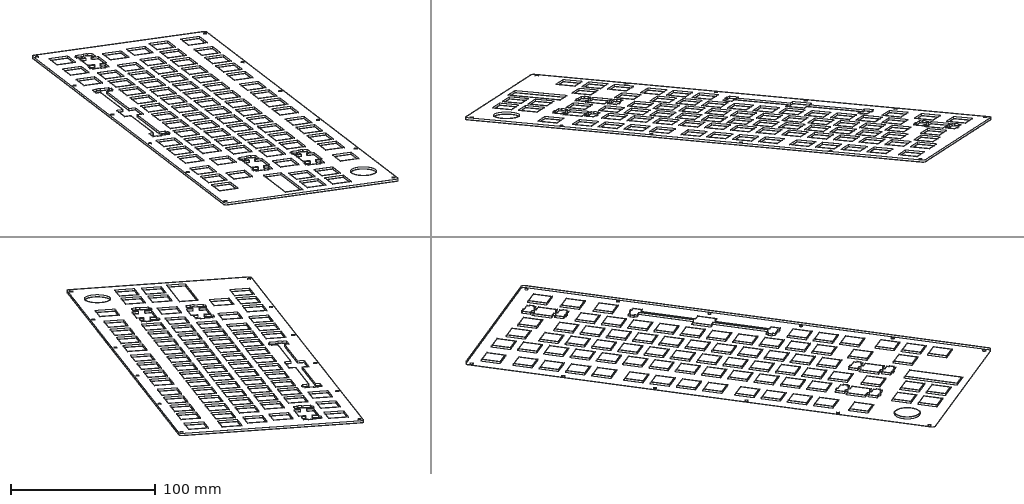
import cadquery as cq

PLATE_LENGTH = 340.0
PLATE_WIDTH = 131.0
PLATE_THICKNESS = 1.6
CORNER_RADIUS = 2.0

SCREW_DIAMETER = 2.2
SCREWS_PER_EDGE = 6
SCREW_SPAN = 331.8
SCREW_ROW_SPACING = 126.3
SCREW_MIDDLE_X = -0.2

KEY_PITCH = 19.05
SWITCH_SIZE = 14.0
FIRST_KEY_X = -154.45
NUMBER_ROW_Y = 26.2

NAVIGATION_MIDDLE = 15.73
NAVIGATION_COLUMNS = [NAVIGATION_MIDDLE - 0.5, NAVIGATION_MIDDLE + 0.5]
KNOB_DIAMETER = 18.0
KNOB_Y = 49.4
WINDOW_LENGTH = 38.5
WINDOW_WIDTH = 13.2
WINDOW_Y = -11.0

BACKSPACE_COLUMN = 13.5
ENTER_COLUMN = 13.375
SHIFT_COLUMN = 0.625
SPACEBAR_COLUMN = 6.375

KEY_COLUMNS = {
    0: [*range(13), BACKSPACE_COLUMN, *NAVIGATION_COLUMNS],
    1: [0.25, *[1.5 + key for key in range(12)], 13.75, *NAVIGATION_COLUMNS],
    2: [0.375, *[1.75 + key for key in range(11)], ENTER_COLUMN],
    3: [SHIFT_COLUMN, *[2.25 + key for key in range(10)], 12.625],
    4: [0.125, 1.375, 2.625, SPACEBAR_COLUMN, 10, 11, 12],
}

FUNCTION_ROW_Y = 50.0
FUNCTION_GROUPS = 3
KEYS_PER_GROUP = 4
GROUP_STEP = 23.22
DELETE_X = 112.1
DELETE_Y = 50.2

ARROW_COLUMN = 14.315
ARROW_ROW = 4
ARROW_DROP = 1.5

WIDE_KEY_OFFSET = 11.938
SPACEBAR_OFFSET = 50.0
STABILIZERS = [
    (BACKSPACE_COLUMN, 0, WIDE_KEY_OFFSET, 1),
    (ENTER_COLUMN, 2, WIDE_KEY_OFFSET, 1),
    (SHIFT_COLUMN, 3, WIDE_KEY_OFFSET, 1),
    (SPACEBAR_COLUMN, 4, SPACEBAR_OFFSET, -1),
]
POCKET_WIDTH = 6.65
POCKET_TOP = 5.53
POCKET_BOTTOM = -6.77
FOOT_WIDTH = 3.05
FOOT_BOTTOM = -7.97
CLIP_DEPTH = 0.83
CLIP_TOP = 2.3
CLIP_BOTTOM = -0.5
WIRE_SLOT_WIDTH = 4.6


def column_x(column):
    return FIRST_KEY_X + column * KEY_PITCH


def row_y(row):
    return NUMBER_ROW_Y - row * KEY_PITCH


def main_block_centers():
    return [(column_x(column), row_y(row)) for row, columns in KEY_COLUMNS.items() for column in columns]


def function_row_centers():
    centers = [(column_x(0), FUNCTION_ROW_Y), (DELETE_X, DELETE_Y)]
    group_pitch = (KEYS_PER_GROUP - 1) * KEY_PITCH + GROUP_STEP
    for group in range(FUNCTION_GROUPS):
        group_x = column_x(0) + GROUP_STEP + group * group_pitch
        centers += [(group_x + key * KEY_PITCH, FUNCTION_ROW_Y) for key in range(KEYS_PER_GROUP)]
    return centers


def arrow_centers():
    lower_y = row_y(ARROW_ROW) - ARROW_DROP
    middle_x = column_x(ARROW_COLUMN)
    lower_row = [(middle_x + step * KEY_PITCH, lower_y) for step in (-1, 0, 1)]
    return [*lower_row, (middle_x, lower_y + KEY_PITCH)]


def rectangle_cutter(centers, length, width):
    return cq.Workplane("XY").pushPoints(centers).rect(length, width).extrude(PLATE_THICKNESS)


def round_cutter(centers, diameter):
    return cq.Workplane("XY").pushPoints(centers).circle(diameter / 2).extrude(PLATE_THICKNESS)


def pocket_cutter(key_x, key_y, offset, side, flip):
    """One stabilizer pocket with its foot notch and the clip notch on its outer side."""
    x = key_x + side * offset
    body_y = key_y + flip * (POCKET_TOP + POCKET_BOTTOM) / 2
    foot_y = key_y + flip * (POCKET_TOP + FOOT_BOTTOM) / 2
    clip_x = x + side * CLIP_DEPTH / 2
    clip_y = key_y + flip * (CLIP_TOP + CLIP_BOTTOM) / 2
    body = rectangle_cutter([(x, body_y)], POCKET_WIDTH, POCKET_TOP - POCKET_BOTTOM)
    foot = rectangle_cutter([(x, foot_y)], FOOT_WIDTH, POCKET_TOP - FOOT_BOTTOM)
    clip = rectangle_cutter([(clip_x, clip_y)], POCKET_WIDTH + CLIP_DEPTH, CLIP_TOP - CLIP_BOTTOM)
    return body.union(foot).union(clip)


def stabilizer_cutter(column, row, offset, flip):
    """Two pockets joined by a wire slot; flip = -1 turns the pocket feet to the back."""
    key_x = column_x(column)
    key_y = row_y(row)
    cutter = rectangle_cutter([(key_x, key_y)], 2 * offset, WIRE_SLOT_WIDTH)
    for side in (-1, 1):
        cutter = cutter.union(pocket_cutter(key_x, key_y, offset, side, flip))
    return cutter


def blank_plate():
    return (
        cq.Workplane("XY")
        .rect(PLATE_LENGTH, PLATE_WIDTH)
        .extrude(PLATE_THICKNESS)
        .edges("|Z")
        .fillet(CORNER_RADIUS)
    )


def screw_centers():
    spacing = SCREW_SPAN / (SCREWS_PER_EDGE - 1)
    return [
        (SCREW_MIDDLE_X + index * spacing - SCREW_SPAN / 2, side * SCREW_ROW_SPACING / 2)
        for index in range(SCREWS_PER_EDGE)
        for side in (-1, 1)
    ]


navigation_x = column_x(NAVIGATION_MIDDLE)
switch_centers = main_block_centers() + function_row_centers() + arrow_centers()

result = blank_plate()
result = result.cut(rectangle_cutter(switch_centers, SWITCH_SIZE, SWITCH_SIZE))
for stabilizer in STABILIZERS:
    result = result.cut(stabilizer_cutter(*stabilizer))
result = result.cut(round_cutter(screw_centers(), SCREW_DIAMETER))
result = result.cut(round_cutter([(navigation_x, KNOB_Y)], KNOB_DIAMETER))
result = result.cut(rectangle_cutter([(navigation_x, WINDOW_Y)], WINDOW_LENGTH, WINDOW_WIDTH))